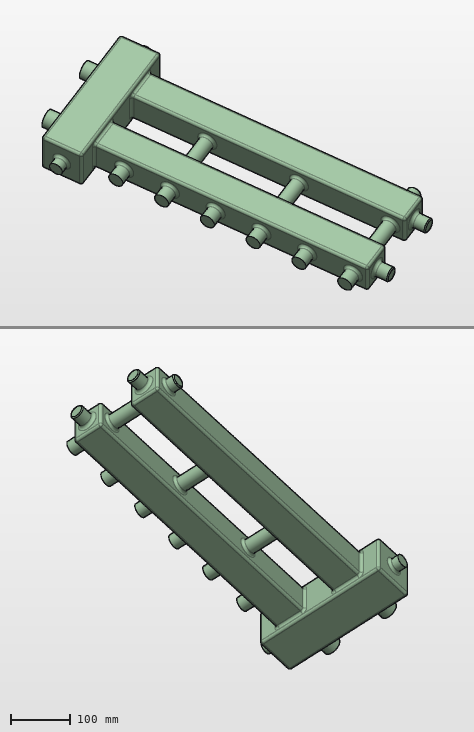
import cadquery as cq

overall_length = 678.0
overall_width = 302.0

header_height = 81.0
header_width = 80.0
header_length = 263.0
header_start = 30.0
header_end = header_start + header_width
header_center = header_start + header_width / 2

bar_size = 60.5
bar_pitch = 125.0
bar_end = 649.0
bar_centers = (-bar_pitch / 2, bar_pitch / 2)
bar_outer_side = bar_pitch / 2 + bar_size / 2
bar_inner_side = bar_pitch / 2 - bar_size / 2

edge_radius = 5.0
weld_radius = edge_radius

outlet_count = 6
first_outlet = 169.5
last_outlet = 620.0
outlet_pitch = (last_outlet - first_outlet) / (outlet_count - 1)
outlet_positions = [first_outlet + i * outlet_pitch for i in range(outlet_count)]
cross_pipe_positions = outlet_positions[1::2]
outlet_diameter = 28.0
outlet_length = 28.0

inlet_diameter = 34.0
end_diameter = 27.0
end_length = overall_length - bar_end
end_weld_radius = 6.0
header_stub_diameter = 25.0
header_stub_length = (overall_width - header_length) / 2
rear_stub_diameter = 26.5
rear_stub_length = 22.0
rim_chamfer = 2.0

root_depth = 2.0

LEFT = cq.Vector(-1, 0, 0)
RIGHT = cq.Vector(1, 0, 0)
FRONT = cq.Vector(0, -1, 0)
BACK = cq.Vector(0, 1, 0)
UP = cq.Vector(0, 0, 1)


def rounded_tube(x_start, x_end, y_center, y_size, z_size):
    """Closed box-shaped tube with every edge rounded."""
    tube = cq.Workplane("XY").box(x_end - x_start, y_size, z_size)
    tube = tube.edges().fillet(edge_radius)
    return tube.translate(((x_start + x_end) / 2, y_center, 0))


def pipe(foot, direction, diameter, length, rim=0):
    """Solid round pipe standing on a flat face at `foot`, with an optional chamfered rim."""
    root = foot - direction * root_depth
    stub = cq.Workplane(cq.Plane(root, normal=direction)).circle(diameter / 2).extrude(root_depth + length)
    if rim:
        stub = stub.faces(cq.DirectionMinMaxSelector(direction)).chamfer(rim)
    return stub


def weld_bead(foot, direction, diameter, bead):
    """Concave quarter-round bead around the foot of a pipe."""
    pipe_radius = diameter / 2
    foot_radius = pipe_radius + bead
    arc_middle = bead * (1 - 0.5 ** 0.5)
    plane = cq.Plane(foot, xDir=UP, normal=UP.cross(direction))
    profile = (
        cq.Workplane(plane)
        .moveTo(0, -root_depth)
        .lineTo(foot_radius, -root_depth)
        .lineTo(foot_radius, 0)
        .threePointArc((pipe_radius + arc_middle, arc_middle), (pipe_radius, bead))
        .lineTo(0, bead)
        .close()
    )
    return profile.revolve(360, (0, 0), (0, 1))


def welded_pipe(foot, direction, diameter, length, rim=0, bead=weld_radius):
    """Pipe together with the weld bead at its foot."""
    stub = pipe(foot, direction, diameter, length, rim)
    return stub.union(weld_bead(foot, direction, diameter, bead))


result = rounded_tube(header_start, header_end, 0, header_length, header_height)
for y in bar_centers:
    result = result.union(rounded_tube(header_center, bar_end, y, bar_size, bar_size))
joint_margin = 1.0
joint_edges = cq.selectors.BoxSelector(
    (header_end - joint_margin, -bar_outer_side - joint_margin, -bar_size / 2 - joint_margin),
    (header_end + joint_margin, bar_outer_side + joint_margin, bar_size / 2 + joint_margin),
)
result = result.edges(joint_edges).fillet(weld_radius)

for y in bar_centers:
    inlet_foot = cq.Vector(header_start, y, 0)
    end_foot = cq.Vector(bar_end, y, 0)
    result = result.union(pipe(inlet_foot, LEFT, inlet_diameter, header_start))
    end_stub = welded_pipe(end_foot, RIGHT, end_diameter, end_length, rim_chamfer, end_weld_radius)
    result = result.union(end_stub)

for direction in (FRONT, BACK):
    foot = cq.Vector(header_center, 0, 0) + direction * (header_length / 2)
    result = result.union(welded_pipe(foot, direction, header_stub_diameter, header_stub_length))

for x in outlet_positions:
    foot = cq.Vector(x, -bar_outer_side, 0)
    result = result.union(welded_pipe(foot, FRONT, outlet_diameter, outlet_length))

for x in cross_pipe_positions:
    front_foot = cq.Vector(x, -bar_inner_side, 0)
    back_foot = cq.Vector(x, bar_inner_side, 0)
    result = result.union(welded_pipe(front_foot, BACK, outlet_diameter, bar_inner_side))
    result = result.union(welded_pipe(back_foot, FRONT, outlet_diameter, bar_inner_side))

rear_foot = cq.Vector(last_outlet, bar_outer_side, 0)
result = result.union(welded_pipe(rear_foot, BACK, rear_stub_diameter, rear_stub_length, rim_chamfer))